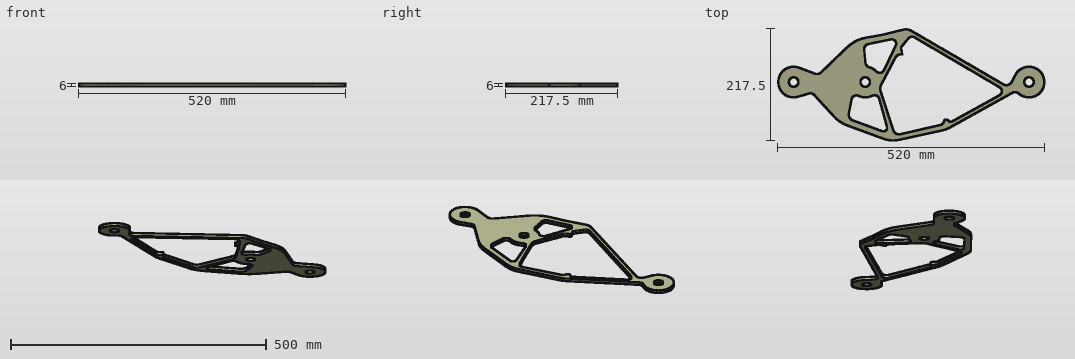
import cadquery as cq
import math

LENGTH = 520.0
THICKNESS = 6.0
HOLE_DIAMETER = 18.0
LUG_RADIUS = 30.0
LUG_SPACING = LENGTH - 2 * LUG_RADIUS
PIVOT_X = 140.0

LEFT_LUG = (0.0, 0.0)
PIVOT = (PIVOT_X, 0.0)
RIGHT_LUG = (LUG_SPACING, 0.0)

UPPER_RIM = [
    (48.5, 14.0, 11.5),
    (120.0, 83.0, 73.0),
    (173.5, 92.5, 104.0),
    (222.5, 104.5, 20.0),
    (420.0, -10.5, 11.5),
]
LOWER_RIM = [
    (432.5, -18.0, 9.5),
    (298.0, -93.0, 62.5),
    (190.5, -116.5, 54.5),
    (90.0, -79.5, 67.5),
    (36.0, -21.0, 10.5),
]

MAIN_OPENING = [
    (168.0, -11.5, 18.5),
    (202.0, 54.0, 12.5),
    (212.0, 54.0, 0),
    (211.5, 60.5, 0),
    (209.0, 67.0, 4.5),
    (229.5, 91.0, 9.5),
    (415.5, -18.0, 9.0),
    (306.0, -78.5, 5.0),
    (296.5, -70.5, 4.0),
    (290.5, -82.5, 8.0),
    (198.0, -104.0, 11.0),
]

UPPER_WINDOW = [
    (137.0, 72.5, 9.5),
    (206.5, 86.5, 8.5),
    (167.5, 4.5, 0),
    (143.5, 4.5, 0),
]
UPPER_WINDOW_LAND_ROUNDINGS = (10.5, 9.0)
LOWER_WINDOW = [
    (117.0, -15.5, 0),
    (162.0, -15.5, 0),
    (185.5, -100.5, 7.0),
    (106.0, -71.0, 12.5),
]
LOWER_WINDOW_LAND_ROUNDINGS = (9.5, 9.5)


def tangent_corner(lug, neck, side):
    """Point where a line from the neck corner touches the lug; side is +1 or -1 around it."""
    dx = neck[0] - lug[0]
    dy = neck[1] - lug[1]
    angle = math.atan2(dy, dx) + side * math.acos(LUG_RADIUS / math.hypot(dx, dy))
    return (lug[0] + LUG_RADIUS * math.cos(angle), lug[1] + LUG_RADIUS * math.sin(angle), 0)


def rounded_corner(before, corner, after):
    """Start, middle and end of the arc that rounds a corner."""
    point = cq.Vector(corner[0], corner[1])
    to_before = (cq.Vector(before[0], before[1]) - point).normalized()
    to_after = (cq.Vector(after[0], after[1]) - point).normalized()
    radius = corner[2]
    half_angle = to_before.getAngle(to_after) / 2
    setback = radius / math.tan(half_angle)
    bisector = (to_before + to_after).normalized()
    middle = point + bisector * (radius / math.sin(half_angle) - radius)
    return point + to_before * setback, middle, point + to_after * setback


def rounded_plate(corners):
    """Plate with straight sides between individually rounded corners."""
    path = None
    for index, corner in enumerate(corners):
        following = corners[(index + 1) % len(corners)]
        if corner[2] == 0:
            start = cq.Vector(corner[0], corner[1])
        else:
            start, middle, end = rounded_corner(corners[index - 1], corner, following)
        if path is None:
            path = cq.Workplane("XY").moveTo(start.x, start.y)
        else:
            path = path.lineTo(start.x, start.y)
        if corner[2] > 0:
            path = path.threePointArc((middle.x, middle.y), (end.x, end.y))
    return path.close().extrude(THICKNESS)


def disc(center, radius):
    return cq.Workplane("XY").center(*center).circle(radius).extrude(THICKNESS)


def window(corners, roundings):
    """Window cutter that stops at the pivot land; roundings run from left to right."""
    cutter = rounded_plate(corners).cut(disc(PIVOT, LUG_RADIUS))
    land_edges = [
        edge
        for edge in cutter.edges("|Z").vals()
        if abs(math.hypot(edge.Center().x - PIVOT_X, edge.Center().y) - LUG_RADIUS) < 0.005
    ]
    land_edges.sort(key=lambda edge: edge.Center().x)
    for edge, radius in zip(land_edges, roundings):
        center = edge.Center().toTuple()
        cutter = cutter.edges(cq.selectors.NearestToPointSelector(center)).fillet(radius)
    return cutter


outline = [
    (*LEFT_LUG, 0),
    tangent_corner(LEFT_LUG, UPPER_RIM[0], 1),
    *UPPER_RIM,
    tangent_corner(RIGHT_LUG, UPPER_RIM[-1], -1),
    (*RIGHT_LUG, 0),
    tangent_corner(RIGHT_LUG, LOWER_RIM[0], 1),
    *LOWER_RIM,
    tangent_corner(LEFT_LUG, LOWER_RIM[-1], -1),
]
plate = rounded_plate(outline)
for lug_center in (LEFT_LUG, RIGHT_LUG):
    plate = plate.union(disc(lug_center, LUG_RADIUS))

plate = plate.cut(rounded_plate(MAIN_OPENING))
plate = plate.cut(window(UPPER_WINDOW, UPPER_WINDOW_LAND_ROUNDINGS))
plate = plate.cut(window(LOWER_WINDOW, LOWER_WINDOW_LAND_ROUNDINGS))

for hole_center in (LEFT_LUG, PIVOT, RIGHT_LUG):
    plate = plate.cut(disc(hole_center, HOLE_DIAMETER / 2))

result = plate